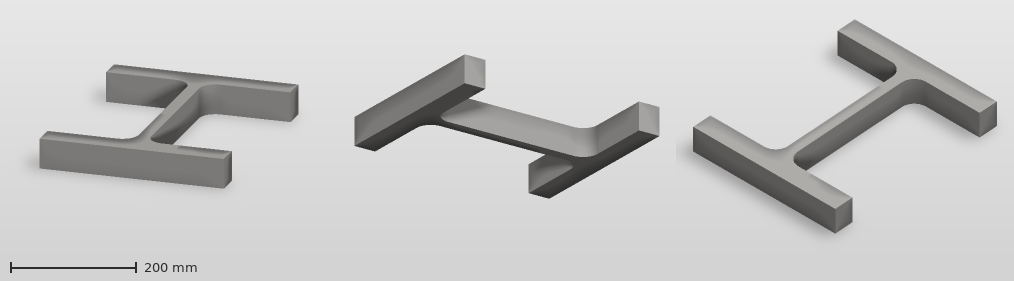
import cadquery as cq

section_depth = 377.0
flange_width = 309.0
flange_thickness = 40.0
web_thickness = 21.0
root_radius = 27.0
slice_length = 50.0


def flange(side):
    """Flange on the +Y (side=1) or -Y (side=-1) end of the section."""
    center_y = side * (section_depth - flange_thickness) / 2
    return (
        cq.Workplane("XY")
        .center(0, center_y)
        .rect(flange_width, flange_thickness)
        .extrude(slice_length)
    )


web_height = section_depth - 2 * flange_thickness
web = cq.Workplane("XY").rect(web_thickness, web_height).extrude(slice_length)
section = web.union(flange(1)).union(flange(-1))

root_corners = cq.selectors.BoxSelector(
    (-web_thickness, -section_depth / 2 + flange_thickness / 2, 0),
    (web_thickness, section_depth / 2 - flange_thickness / 2, slice_length),
)
result = section.edges("|Z").edges(root_corners).fillet(root_radius)